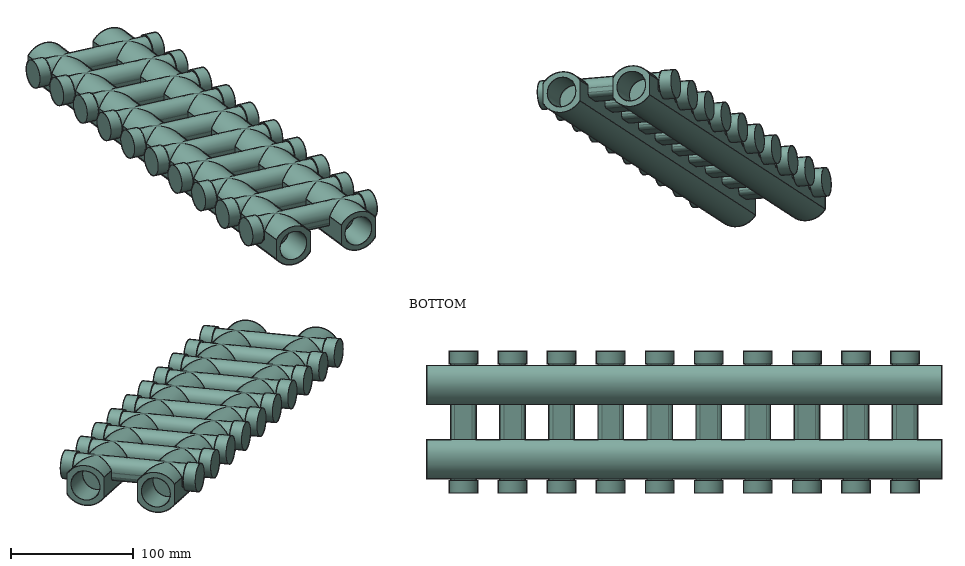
import cadquery as cq
import math

length = 420.0
overall_width = 116.0
overall_height = 35.3

rail_spacing = 60.5
rail_width = 32.0
rail_side_height = 17.2
socket_diameter = 24.8

rung_count = 10
end_margin_in_pitches = 0.75
rung_width = 21.0
rung_side_height = 3.8
rung_corner_radius = 3.5

head_diameter = 23.5
head_thickness = 10.5

rung_axis_z = overall_height - head_diameter / 2
rail_height = rung_axis_z + rung_width / 2
rail_mid_z = rail_height / 2

rung_pitch = length / (rung_count - 1 + 2 * end_margin_in_pitches)
socket_depth = end_margin_in_pitches * rung_pitch

rung_length = overall_width - 2 * head_thickness
rail_positions = [(0, side * rail_spacing / 2) for side in (-1, 1)]
rung_positions = [
    ((index - (rung_count - 1) / 2) * rung_pitch, 0) for index in range(rung_count)
]


def along_y(start_y):
    """XZ workplane whose extrusions run toward +Y from start_y."""
    return cq.Workplane(cq.Plane(origin=(0, start_y, 0), xDir=(-1, 0, 0), normal=(0, 1, 0)))


def make_rail_body():
    half_width = rail_width / 2
    side_top = rail_mid_z + rail_side_height / 2
    side_bottom = rail_mid_z - rail_side_height / 2
    return (
        cq.Workplane("YZ", origin=(-length / 2, 0, 0))
        .moveTo(-half_width, side_bottom)
        .lineTo(-half_width, side_top)
        .threePointArc((0, rail_height), (half_width, side_top))
        .lineTo(half_width, side_bottom)
        .threePointArc((0, 0), (-half_width, side_bottom))
        .close()
        .extrude(length)
    )


def make_socket(end_x, rail_y):
    """Round blind socket that runs inward from the rail end at end_x."""
    inward = cq.Vector(math.copysign(1, -end_x), 0, 0)
    mouth = cq.Vector(end_x, rail_y, rail_mid_z)
    return cq.Workplane(cq.Solid.makeCylinder(socket_diameter / 2, socket_depth, mouth, inward))


def make_rung():
    half_width = rung_width / 2
    corner_z = rung_axis_z - rung_side_height
    bottom_z = corner_z - rung_corner_radius
    bottom_half_width = half_width - rung_corner_radius
    return (
        along_y(-rung_length / 2)
        .moveTo(half_width, corner_z)
        .lineTo(half_width, rung_axis_z)
        .threePointArc((0, rung_axis_z + half_width), (-half_width, rung_axis_z))
        .lineTo(-half_width, corner_z)
        .tangentArcPoint((-bottom_half_width, bottom_z), relative=False)
        .lineTo(bottom_half_width, bottom_z)
        .tangentArcPoint((half_width, corner_z), relative=False)
        .close()
        .extrude(rung_length)
    )


def make_head(start_y):
    return along_y(start_y).center(0, rung_axis_z).circle(head_diameter / 2).extrude(head_thickness)


def make_headed_rung():
    near_head = make_head(-overall_width / 2)
    far_head = make_head(rung_length / 2)
    return make_rung().union(near_head).union(far_head)


def place(body, positions):
    """Copies of body moved to the given XY positions."""
    return [body.translate((x, y, 0)) for x, y in positions]


result = cq.Workplane("XY")
for body in place(make_rail_body(), rail_positions) + place(make_headed_rung(), rung_positions):
    result = result.union(body)

for end_x in (-length / 2, length / 2):
    for _, rail_y in rail_positions:
        result = result.cut(make_socket(end_x, rail_y))